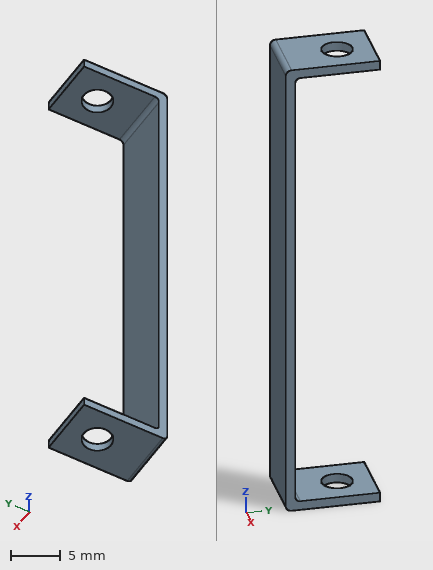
import cadquery as cq

width = 7.0
depth = 9.7
height = 49.6

thickness = 1.0
outer_bend_radius = 0.6
inner_bend_radius = 0.5

hole_diameter = 3.18
hole_to_flange_end = 3.6


def make_channel():
    """Upright web on the -Y side with a flange at each end, bends rounded."""
    block = cq.Workplane("XY").box(width, depth, height)
    block = block.faces("<Y").edges("|X").fillet(outer_bend_radius)

    opening = (
        cq.Workplane("XY")
        .box(width, depth, height - 2 * thickness)
        .faces("<Y")
        .edges("|X")
        .fillet(inner_bend_radius)
        .translate((0, thickness, 0))
    )
    return block.cut(opening)


def make_hole_cutter():
    """Vertical cylinder that passes through both flanges."""
    hole_y = depth / 2 - hole_to_flange_end
    return cq.Workplane("XY").center(0, hole_y).circle(hole_diameter / 2).extrude(height, both=True)


result = make_channel().cut(make_hole_cutter())